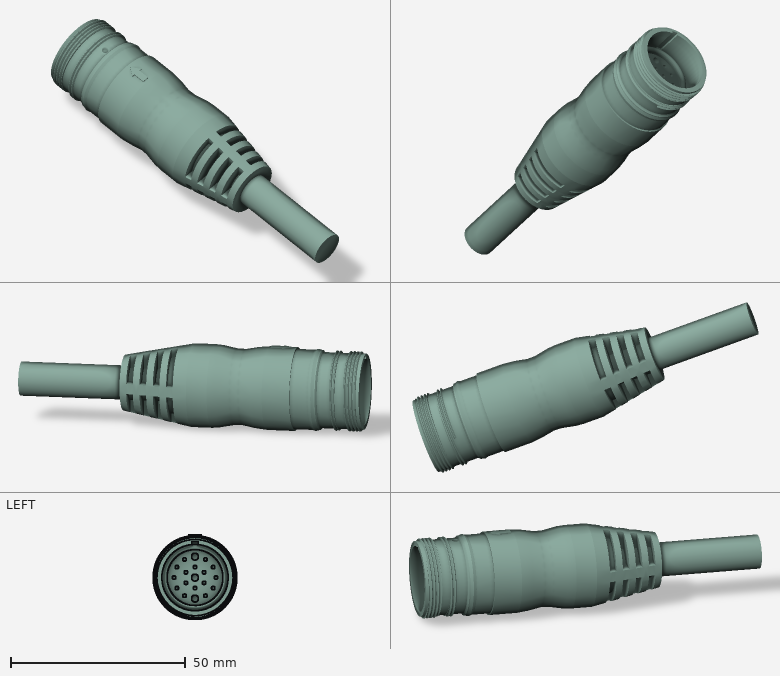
import cadquery as cq
import math


total_length = 100.0
shoulder_start = 12.2
grip_start = 20.0
neck_start = 28.0
neck_end = 44.0
taper_start = 50.0
taper_end = 70.0

shell_radius = 10.9
shoulder_radius = 11.5
grip_radius = 12.0
neck_radius = 10.9
taper_end_radius = 8.0
cable_radius = 4.9

shoulder_chamfer_length = 0.5
bead_start = 13.0
bead_end = 14.8
bead_radius = 11.8

thread_pitch = 1.0
thread_depth = 0.6
thread_root_width = 0.9
thread_crest_width = 0.1
thread_root_overlap = 0.2
thread_start = 0.2
thread_turns = 8.75
thread_bands = [(0.9, 4.7), (7.1, 9.3)]

socket_radius = 9.5
socket_depth = 8.6
seal_width = 1.5
seal_inner_radius = socket_radius - seal_width
contact_face_x = 9.5
keyway_width = 1.8
keyway_top = 10.2

contact_circle_radius = 6.0
inner_circle_radius = contact_circle_radius / 2
contact_hole_radius = 0.5
large_hole_radius = 1.0
outer_contact_count = 12
inner_contact_count = 6

dot_x = 11.1
dot_radius = 1.0
dot_floor_radius = 0.6
dot_depth = 0.4
arrow_tip_x = 21.1
arrow_neck_x = 23.8
arrow_tail_x = 27.3
arrow_head_half_width = 1.8
arrow_shaft_half_width = 1.0
arrow_top = 12.3
arrow_sink = 0.5
arrow_base = grip_radius - arrow_sink

slot_count = 4
slot_start = 54.0
slot_width = 2.0
slot_pitch = 2 * slot_width
web_width = 3.0
first_slot_floor_radius = 8.4

cable_start = slot_start + slot_width


def cylinder(start, end, radius):
    """Cylinder along X."""
    return cq.Workplane("YZ", origin=(start, 0, 0)).circle(radius).extrude(end - start)


def outer_shape():
    """Turned outside of the connector, neck and tapered sleeve."""
    neck_middle = (neck_start + neck_end) / 2
    bead_middle = (bead_start + bead_end) / 2
    profile = (
        cq.Workplane("XZ")
        .moveTo(0, 0)
        .lineTo(0, shell_radius)
        .lineTo(shoulder_start, shell_radius)
        .lineTo(shoulder_start + shoulder_chamfer_length, shoulder_radius)
        .lineTo(bead_start, shoulder_radius)
        .lineTo(bead_middle, bead_radius)
        .lineTo(bead_end, shoulder_radius)
        .lineTo(grip_start, shoulder_radius)
        .lineTo(grip_start, grip_radius)
        .lineTo(neck_start, grip_radius)
        .spline(
            [(neck_middle, neck_radius), (neck_end, grip_radius)],
            tangents=[(1, 0), (1, 0), (1, 0)],
            includeCurrent=True,
        )
        .lineTo(taper_start, grip_radius)
        .lineTo(taper_end, taper_end_radius)
        .lineTo(taper_end, 0)
        .close()
    )
    return profile.revolve(360, (0, 0, 0), (1, 0, 0))


def thread():
    """Helical ridge starting on the +Y side; its root is sunk into the shell."""
    root = shell_radius - thread_root_overlap
    crest = shell_radius + thread_depth
    helix = cq.Wire.makeHelix(thread_pitch, thread_turns * thread_pitch, root)
    ridge = (
        cq.Workplane("XZ")
        .polyline(
            [
                (root, -thread_root_width / 2),
                (crest, -thread_crest_width / 2),
                (crest, thread_crest_width / 2),
                (root, thread_root_width / 2),
            ]
        )
        .close()
        .sweep(cq.Workplane(helix), isFrenet=True)
    )
    along_x = ridge.rotate((0, 0, 0), (0, 1, 0), 90).rotate((0, 0, 0), (1, 0, 0), 90)
    return along_x.translate((thread_start, 0, 0))


def socket_cut():
    """Round socket with a keyway at its top and a narrower recess behind the seal."""
    keyway = cq.Workplane("XY").box(
        socket_depth, keyway_width, keyway_top, centered=(False, True, False)
    )
    recess = cylinder(0, contact_face_x, seal_inner_radius)
    return cylinder(0, socket_depth, socket_radius).union(keyway).union(recess)


def seal():
    """Half-round bead on the ledge around the recess."""
    middle_radius = socket_radius - seal_width / 2
    return (
        cq.Workplane("XZ")
        .moveTo(socket_depth, seal_inner_radius)
        .threePointArc((socket_depth - seal_width / 2, middle_radius), (socket_depth, socket_radius))
        .close()
        .revolve(360, (0, 0, 0), (1, 0, 0))
    )


def contact_holes():
    """Hemispherical dimples in the contact face; the three on the Z axis are larger."""
    face = cq.Workplane("YZ", origin=(contact_face_x, 0, 0))
    large = face.pushPoints(
        [(0, 0), (0, contact_circle_radius), (0, -contact_circle_radius)]
    ).sphere(large_hole_radius)
    outer_points = []
    for index in range(outer_contact_count):
        angle = 2 * math.pi * index / outer_contact_count
        point = (contact_circle_radius * math.cos(angle), contact_circle_radius * math.sin(angle))
        if index % (outer_contact_count // 2) != outer_contact_count // 4:
            outer_points.append(point)
    outer = face.pushPoints(outer_points).sphere(contact_hole_radius)
    inner = face.polarArray(inner_circle_radius, 90, 360, inner_contact_count).sphere(
        contact_hole_radius
    )
    return large.union(outer).union(inner)


def dot_cut():
    """Shallow conical recess on top of the shell."""
    return (
        cq.Workplane("XY", origin=(dot_x, 0, shell_radius))
        .circle(dot_radius)
        .workplane(offset=-dot_depth)
        .circle(dot_floor_radius)
        .loft()
    )


def arrow():
    """Raised flat arrow pointing at the socket."""
    return (
        cq.Workplane("XY", origin=(0, 0, arrow_base))
        .polyline(
            [
                (arrow_tip_x, 0),
                (arrow_neck_x, arrow_head_half_width),
                (arrow_neck_x, arrow_shaft_half_width),
                (arrow_tail_x, arrow_shaft_half_width),
                (arrow_tail_x, -arrow_shaft_half_width),
                (arrow_neck_x, -arrow_shaft_half_width),
                (arrow_neck_x, -arrow_head_half_width),
            ]
        )
        .close()
        .extrude(arrow_top - arrow_base)
    )


def slot_cut(index):
    """Ring-shaped slot interrupted by four webs."""
    start = slot_start + index * slot_pitch
    end = start + slot_width
    floor_radius = first_slot_floor_radius if index == 0 else cable_radius
    ring = cylinder(start, end, grip_radius).cut(cylinder(start, end, floor_radius))
    across_y = cq.Workplane("XY", origin=(start + slot_width / 2, 0, 0)).box(
        slot_width, 2 * grip_radius, web_width
    )
    across_z = cq.Workplane("XY", origin=(start + slot_width / 2, 0, 0)).box(
        slot_width, web_width, 2 * grip_radius
    )
    return ring.cut(across_y).cut(across_z)


def make_plug():
    """Connector and its tapered sleeve as one piece."""
    plug = outer_shape()
    ridge = thread()
    for start, end in thread_bands:
        plug = plug.union(ridge.intersect(cylinder(start, end, grip_radius)))
    plug = plug.cut(socket_cut()).union(seal()).cut(contact_holes())
    plug = plug.cut(dot_cut()).union(arrow())
    for index in range(slot_count):
        plug = plug.cut(slot_cut(index))
    return plug


def make_cable():
    """Cable held in the sleeve, bare in every slot but the first."""
    return cylinder(cable_start, total_length, cable_radius)


cable = make_cable()
plug = make_plug().cut(cable)
result = cq.Compound.makeCompound([plug.solids().val(), cable.val()])